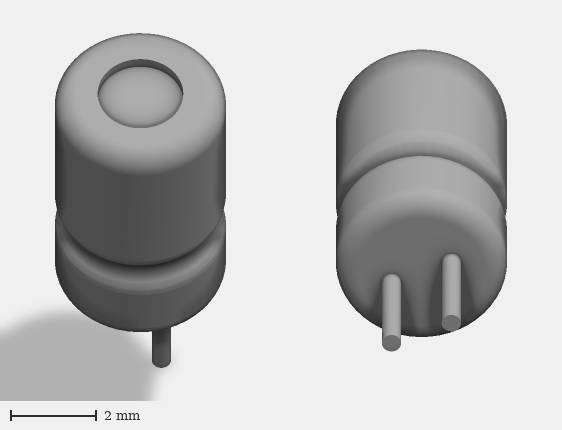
import cadquery as cq
import math


can_radius = 4.0 / 2
can_height = 7.0
edge_radius = 0.5

groove_height = 0.35 * can_height
groove_depth = 0.25
groove_arc_radius = 0.5
groove_blend_radius = 0.5

recess_radius = can_radius / 2
recess_depth = 0.3

lead_radius = 0.45 / 2
lead_pitch = 1.5
overall_height = 9.71
lead_length = overall_height - can_height


def arc_point(center, radius, angle):
    """Point (r, z) on an arc, with the angle in radians from the +r direction."""
    center_r, center_z = center
    return (center_r + radius * math.cos(angle), center_z + radius * math.sin(angle))


def make_can():
    """Revolve the half profile of the rounded, grooved can."""
    turn = math.acos(1 - groove_depth / (groove_arc_radius + groove_blend_radius))
    blend_offset = (groove_arc_radius + groove_blend_radius) * math.sin(turn)

    corner_r = can_radius - edge_radius
    lower_corner = (corner_r, edge_radius)
    upper_corner = (corner_r, can_height - edge_radius)
    blend_r = can_radius - groove_blend_radius
    lower_blend = (blend_r, groove_height - blend_offset)
    upper_blend = (blend_r, groove_height + blend_offset)
    throat_radius = can_radius - groove_depth

    profile = (
        cq.Workplane("XZ")
        .lineTo(corner_r, 0)
        .threePointArc(
            arc_point(lower_corner, edge_radius, -math.pi / 4),
            arc_point(lower_corner, edge_radius, 0),
        )
        .lineTo(*arc_point(lower_blend, groove_blend_radius, 0))
        .threePointArc(
            arc_point(lower_blend, groove_blend_radius, turn / 2),
            arc_point(lower_blend, groove_blend_radius, turn),
        )
        .threePointArc(
            (throat_radius, groove_height),
            arc_point(upper_blend, groove_blend_radius, -turn),
        )
        .threePointArc(
            arc_point(upper_blend, groove_blend_radius, -turn / 2),
            arc_point(upper_blend, groove_blend_radius, 0),
        )
        .lineTo(*arc_point(upper_corner, edge_radius, 0))
        .threePointArc(
            arc_point(upper_corner, edge_radius, math.pi / 4),
            arc_point(upper_corner, edge_radius, math.pi / 2),
        )
        .lineTo(0, can_height)
        .close()
    )
    return profile.revolve(360, (0, 0, 0), (0, 1, 0))


def make_recess():
    """Cutter for the shallow round recess in the top face."""
    return (
        cq.Workplane("XY")
        .workplane(offset=can_height - recess_depth)
        .circle(recess_radius)
        .extrude(recess_depth)
    )


def make_leads():
    """Two straight round leads hanging from the underside along X."""
    return (
        cq.Workplane("XY")
        .pushPoints([(-lead_pitch / 2, 0), (lead_pitch / 2, 0)])
        .circle(lead_radius)
        .extrude(-lead_length)
    )


result = make_can().cut(make_recess()).union(make_leads())